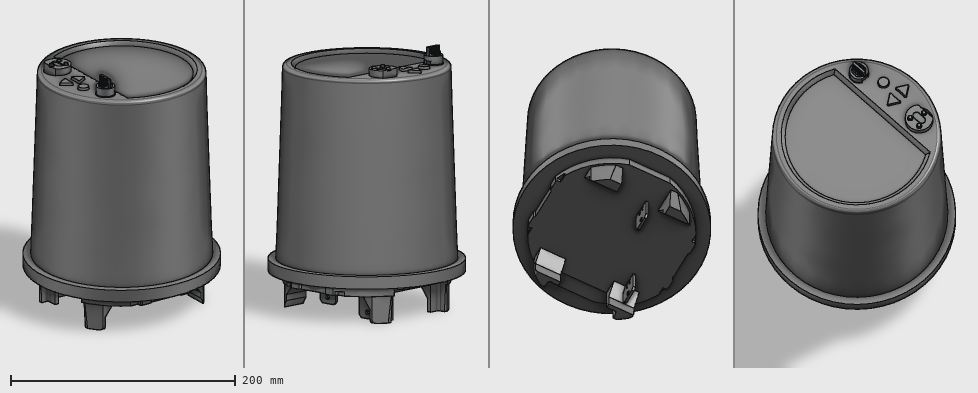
import cadquery as cq
import math

skirt_bottom = 24.8
flange_bottom = 34.3
flange_top = 45.5
housing_top = 222.5
lug_top = 228.8
knob_drum_top = 230.5
overall_height = 238.4

flange_radius = 88.2
housing_base_radius = 81.3
housing_top_radius = 75.3
rim_fillet = 3.5
window_radius = 67.5
window_flat_y = -33.4
window_depth = 3.5

skirt_radius = 75.0
skirt_half_x = 70.5
skirt_half_y = 72.2
side_recess_half_width = 14.8
side_recess_depth = 1.5
notch_inner_x = 66.3
notch_inner_y = 27.5
notch_outer_y = 36.2
notch_top = 28.5
front_recess_half_width = 34.5
front_recess_y = -55.5
front_recess_top = 30.3
front_recess_fillet = 2.5

leg_inner_x = 24.3
leg_outer_x = 49.8
leg_radius = 73.5
leg_inner_y = 51.5
leg_gusset_y = 41.5
leg_gusset_bottom = 12.2
leg_corner_fillet = 3.0
front_leg_outer_y = (64.1, 62.7)
rear_leg_outer_y = (66.5, 64.1)
rear_leg_bevel = (3.8, 6.7)

front_terminal_x = -37.0
rear_terminal_x = -11.2
terminal_thickness = 2.5
terminal_y = 36.2
terminal_width = 19.0
terminal_bottom = 0.5
terminal_chamfer = 2.9
terminal_hole_y = 36.7
terminal_hole_height = 6.5
terminal_hole_diameter = 4.0
terminal_slits = ((33.8, 1.7), (39.0, 1.2))
terminal_slit_bottom = 18.8

lug_x, lug_y = -30.3, -48.9
lug_radius = 12.5
lug_flat_y = -57.2
lug_well_depth = 4.8
pin_places = ((-5.5, 5.7), (5.5, 5.7), (0, -6.2))
pin_radius = 1.7
pin_top = 230.5
pin_recess_radius = 2.5
lug_recess_depth = 1.2
lug_slot_length = 12.9
lug_slot_width = 6.5

button_height = 2.5
button_draft = 14
round_button_x = 17.9
buttons_y = -53.5
round_button_radius = 5.2
arrow_base_offset = 2.1
arrow_tip_offset = 14.5
arrow_half_width = 7.9
arrow_base_bow = 1.0
arrow_corner_radius = 1.2

knob_x, knob_y = 39.5, -44.3
drum_radius = 8.3
drum_foot_radius = 8.8
drum_foot_height = 0.7
drum_notch_inner_x = 5.2
drum_notch_width = 7.2
drum_notch_height = 3.5
grip_half_length = 7.5
grip_thickness = 2.6
grip_point_length = 1.2
grip_flare_radius = 6.5
grip_flare_height = 3.8
grip_flare_steps = 5
grip_flare_exponent = 1.5
grip_ridge_height = 0.7
grip_ridge_pitch = 1.7
grip_ridge_count = 3
grip_ridge_half_length = 5.7


def box(x0, x1, y0, y1, z0, z1):
    """Box spanning the given coordinates."""
    return cq.Workplane("XY").box(x1 - x0, y1 - y0, z1 - z0, centered=False).translate((x0, y0, z0))


def cylinder(x, y, radius, z0, z1):
    """Upright cylinder between two heights."""
    return cq.Workplane("XY", origin=(x, y, z0)).circle(radius).extrude(z1 - z0)


def make_housing():
    """Flange and tapered housing turned about Z, with a rounded top rim."""
    rim_bottom = housing_top - rim_fillet
    rim_fillet_mid = rim_fillet * math.sqrt(0.5)
    return (
        cq.Workplane("XZ")
        .moveTo(0, flange_bottom)
        .lineTo(flange_radius, flange_bottom)
        .lineTo(flange_radius, flange_top)
        .lineTo(housing_base_radius, flange_top)
        .lineTo(housing_top_radius, rim_bottom)
        .threePointArc(
            (housing_top_radius - rim_fillet + rim_fillet_mid, rim_bottom + rim_fillet_mid),
            (housing_top_radius - rim_fillet, housing_top),
        )
        .lineTo(0, housing_top)
        .close()
        .revolve(360, (0, 0), (0, 1))
    )


def make_window():
    """Display recess: a disc with one straight side, its walls sloping in at 45 degrees."""
    floor = housing_top - window_depth
    cone = cq.Workplane("XY").add(
        cq.Solid.makeCone(window_radius - window_depth, window_radius, window_depth, cq.Vector(0, 0, floor))
    )
    keep = (
        cq.Workplane("YZ")
        .polyline(
            [
                (window_flat_y, housing_top),
                (window_flat_y + window_depth, floor),
                (window_radius, floor),
                (window_radius, housing_top),
            ]
        )
        .close()
        .extrude(window_radius, both=True)
    )
    return cone.intersect(keep)


def make_skirt():
    """Round skirt with four flats, a shallow recess on each X side and four corner notches."""
    skirt = cylinder(0, 0, skirt_radius, skirt_bottom, flange_bottom).intersect(
        box(-skirt_half_x, skirt_half_x, -skirt_half_y, skirt_half_y, skirt_bottom, flange_bottom)
    )
    recess_floor = skirt_half_x - side_recess_depth
    recess_mouth = side_recess_half_width + side_recess_depth
    for side in (-1, 1):
        skirt = skirt.cut(
            cq.Workplane("XY", origin=(0, 0, skirt_bottom))
            .polyline(
                [
                    (side * recess_floor, -side_recess_half_width),
                    (side * skirt_half_x, -recess_mouth),
                    (side * skirt_half_x, recess_mouth),
                    (side * recess_floor, side_recess_half_width),
                ]
            )
            .close()
            .extrude(flange_bottom - skirt_bottom)
        )
    notch = box(notch_inner_x, skirt_half_x, notch_inner_y, notch_outer_y, skirt_bottom, notch_top)
    return skirt.cut(on_all_corners(notch))


def on_all_corners(shape):
    """The shape together with its mirror images in the YZ and XZ planes."""
    pair = shape.union(shape.mirror("YZ"))
    return pair.union(pair.mirror("XZ"))


def make_leg(outer_y, foot_inner_points):
    """Leg on the +X +Y corner, with a gusset inside and a drafted, partly round outer face."""
    outer_y_top, outer_y_foot = outer_y
    profile = [(outer_y_foot, 0), (outer_y_top, skirt_bottom), (leg_gusset_y, skirt_bottom)]
    profile += [(leg_inner_y, leg_gusset_bottom)] + foot_inner_points
    leg = (
        cq.Workplane("YZ", origin=(leg_inner_x, 0, 0))
        .polyline(profile)
        .close()
        .extrude(leg_outer_x - leg_inner_x)
    )
    leg = leg.intersect(cylinder(0, 0, leg_radius, 0, skirt_bottom))
    envelope = box(0, leg_outer_x, 0, leg_radius, 0, skirt_bottom)
    return leg.intersect(envelope.edges("|Y and >X and <Z").fillet(leg_corner_fillet))


def make_legs():
    """Two plain-footed legs at the front and two with bevelled feet at the rear."""
    bevel_y, bevel_z = rear_leg_bevel
    front = make_leg(front_leg_outer_y, [(leg_inner_y, 0)]).mirror("XZ")
    rear = make_leg(rear_leg_outer_y, [(leg_inner_y, bevel_z), (leg_inner_y + bevel_y, 0)])
    one_side = front.union(rear)
    return one_side.union(one_side.mirror("YZ"))


def make_front_recess():
    """Recess running down the front of the skirt and the two front legs."""
    return (
        box(
            -front_recess_half_width,
            front_recess_half_width,
            -skirt_radius,
            front_recess_y,
            0,
            front_recess_top,
        )
        .edges("|Z and >Y")
        .fillet(front_recess_fillet)
    )


def make_terminals():
    """Two flat terminals with a hole and two slits each."""
    x0 = -terminal_thickness / 2
    x1 = terminal_thickness / 2
    y0 = terminal_y - terminal_width / 2
    terminal = (
        box(x0, x1, y0, y0 + terminal_width, terminal_bottom, skirt_bottom)
        .edges("|X and <Z")
        .chamfer(terminal_chamfer)
    )
    hole = (
        cq.Workplane("YZ", origin=(x0, terminal_hole_y, terminal_hole_height))
        .circle(terminal_hole_diameter / 2)
        .extrude(terminal_thickness)
    )
    terminal = terminal.cut(hole)
    for y, width in terminal_slits:
        terminal = terminal.cut(box(x0, x1, y - width / 2, y + width / 2, terminal_slit_bottom, skirt_bottom))
    rear = terminal.translate((rear_terminal_x, 0, 0))
    front = terminal.mirror("XZ").translate((front_terminal_x, 0, 0))
    return rear.union(front)


def add_sealing_lug(body):
    """Round lug with a flat front that drops into a well, a slot and three recessed pins."""
    body = body.union(cylinder(lug_x, lug_y, lug_radius, housing_top, lug_top))
    well = cylinder(lug_x, lug_y, lug_radius, housing_top - lug_well_depth, lug_top).intersect(
        box(
            lug_x - lug_radius,
            lug_x + lug_radius,
            lug_y - lug_radius,
            lug_flat_y,
            housing_top - lug_well_depth,
            lug_top,
        )
    )
    recess_floor = lug_top - lug_recess_depth
    slot = (
        cq.Workplane("XY", origin=(lug_x, lug_y, recess_floor))
        .slot2D(lug_slot_length, lug_slot_width)
        .extrude(lug_recess_depth)
    )
    body = body.cut(well).cut(slot)
    pins = [(lug_x + dx, lug_y + dy) for dx, dy in pin_places]
    for x, y in pins:
        body = body.cut(cylinder(x, y, pin_recess_radius, recess_floor, lug_top))
    for x, y in pins:
        body = body.union(cylinder(x, y, pin_radius, recess_floor, pin_top))
    return body


def make_arrow_button(direction):
    """Triangular button with a bowed base, pointing to +Y (direction 1) or -Y (direction -1)."""
    base_y = buttons_y + direction * arrow_base_offset
    tip_y = buttons_y + direction * arrow_tip_offset
    return (
        cq.Workplane("XY", origin=(0, 0, housing_top))
        .moveTo(-arrow_half_width, base_y)
        .threePointArc((0, base_y + direction * arrow_base_bow), (arrow_half_width, base_y))
        .lineTo(0, tip_y)
        .close()
        .extrude(button_height)
        .edges("|Z")
        .fillet(arrow_corner_radius)
        .faces("<Z")
        .wires()
        .toPending()
        .extrude(button_height, taper=button_draft, combine=False)
    )


def make_buttons():
    """Up and down arrows and a round button beside them."""
    button = (
        cq.Workplane("XY", origin=(round_button_x, buttons_y, housing_top))
        .circle(round_button_radius)
        .extrude(button_height, taper=button_draft)
    )
    return button.union(make_arrow_button(1)).union(make_arrow_button(-1))


def make_grip():
    """Pointed knob grip with ridged sides and a stepped concave flare at its foot, centred on the Z axis."""
    half = grip_thickness / 2
    height = overall_height - knob_drum_top
    grip = (
        cq.Workplane("XY")
        .polyline(
            [
                (-grip_half_length, -half),
                (grip_half_length - grip_point_length, -half),
                (grip_half_length, 0),
                (grip_half_length - grip_point_length, half),
                (-grip_half_length, half),
            ]
        )
        .close()
        .extrude(height)
    )
    flare_reach = grip_flare_radius - half
    step_height = grip_flare_height / grip_flare_steps
    for index in range(grip_flare_steps):
        share_left = 1 - (index + 0.5) / grip_flare_steps
        step_half = half + flare_reach * share_left**grip_flare_exponent
        step = cylinder(0, 0, grip_flare_radius, index * step_height, (index + 1) * step_height)
        grip = grip.union(
            step.intersect(
                box(-grip_flare_radius, grip_flare_radius, -step_half, step_half, 0, grip_flare_height)
            )
        )
    ridge_half = half + grip_ridge_height
    for index in range(grip_ridge_count):
        ridge_top = height - (index + 0.5) * grip_ridge_pitch
        grip = grip.union(
            box(
                -grip_ridge_half_length,
                grip_ridge_half_length,
                -ridge_half,
                ridge_half,
                ridge_top - grip_ridge_pitch / 2,
                ridge_top,
            )
        )
    return grip


def make_knob():
    """Knob drum with a foot ring and a side notch, carrying the grip."""
    drum = cylinder(0, 0, drum_radius, housing_top, knob_drum_top).union(
        cylinder(0, 0, drum_foot_radius, housing_top, housing_top + drum_foot_height)
    )
    notch = box(
        -drum_foot_radius,
        -drum_notch_inner_x,
        -drum_notch_width / 2,
        drum_notch_width / 2,
        housing_top,
        housing_top + drum_notch_height,
    )
    knob = drum.cut(notch).union(make_grip().translate((0, 0, knob_drum_top)))
    return knob.translate((knob_x, knob_y, 0))


base = make_skirt().union(make_legs()).cut(make_front_recess()).union(make_terminals())
body = make_housing().cut(make_window()).union(base)
body = add_sealing_lug(body)
result = body.union(make_buttons()).union(make_knob())